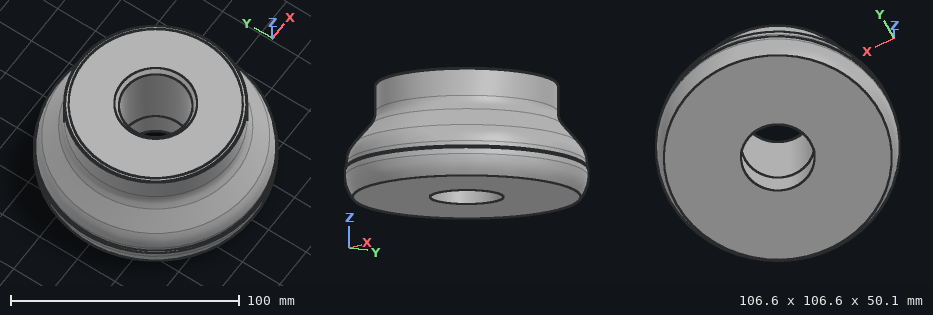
import cadquery as cq
import math

outer_radius = 53.3
total_height = 50.1
bore_radius = 32.1 / 2
bore_chamfer = 2.0

pad_height = 12.8
pad_shoulder_drop = 1.0
pad_round_height = 9.1
pad_base_radius = 49.7

skirt_radius = 52.6
skirt_top = 14.9
skirt_round = 11.7
cone_angle = math.radians(41)
collar_radius = 80.0 / 2
collar_fillet = 9.8
rim_chamfer = 0.4
face_radius = 76.0 / 2
face_step = 0.3


def make_pad():
    """Ring whose outer wall curves inward toward the base."""
    inset = outer_radius - pad_base_radius
    arc_radius = (pad_round_height**2 + inset**2) / (2 * inset)
    half_angle = math.asin(pad_round_height / arc_radius) / 2
    arc_middle = (
        outer_radius - arc_radius * (1 - math.cos(half_angle)),
        pad_round_height - arc_radius * math.sin(half_angle),
    )
    return (
        cq.Workplane("XZ")
        .moveTo(bore_radius, 0)
        .lineTo(pad_base_radius, 0)
        .threePointArc(arc_middle, (outer_radius, pad_round_height))
        .lineTo(outer_radius, pad_height - pad_shoulder_drop)
        .lineTo(skirt_radius, pad_height)
        .lineTo(bore_radius, pad_height)
        .close()
        .revolve(360, (0, 0, 0), (0, 1, 0))
    )


def make_housing():
    """Bell-shaped body: skirt, cone and collar joined by tangent arcs."""

    def skirt_arc_point(angle):
        return (
            skirt_radius - skirt_round * (1 - math.cos(angle)),
            skirt_top + skirt_round * math.sin(angle),
        )

    cone_bottom = skirt_arc_point(cone_angle)
    cone_top_radius = collar_radius + collar_fillet * (1 - math.cos(cone_angle))
    cone_top_z = cone_bottom[1] + (cone_bottom[0] - cone_top_radius) / math.tan(cone_angle)
    collar_bottom = cone_top_z + collar_fillet * math.sin(cone_angle)
    fillet_middle = (
        collar_radius + collar_fillet * (1 - math.cos(cone_angle / 2)),
        collar_bottom - collar_fillet * math.sin(cone_angle / 2),
    )
    rim_z = total_height - face_step

    return (
        cq.Workplane("XZ")
        .moveTo(bore_radius, pad_height)
        .lineTo(skirt_radius, pad_height)
        .lineTo(skirt_radius, skirt_top)
        .threePointArc(skirt_arc_point(cone_angle / 2), cone_bottom)
        .lineTo(cone_top_radius, cone_top_z)
        .threePointArc(fillet_middle, (collar_radius, collar_bottom))
        .lineTo(collar_radius, rim_z - rim_chamfer)
        .lineTo(collar_radius - rim_chamfer, rim_z)
        .lineTo(face_radius, rim_z)
        .lineTo(face_radius, total_height)
        .lineTo(bore_radius + bore_chamfer, total_height)
        .lineTo(bore_radius, total_height - bore_chamfer)
        .close()
        .revolve(360, (0, 0, 0), (0, 1, 0))
    )


pad = make_pad()
housing = make_housing()

result = cq.Compound.makeCompound([pad.val(), housing.val()])